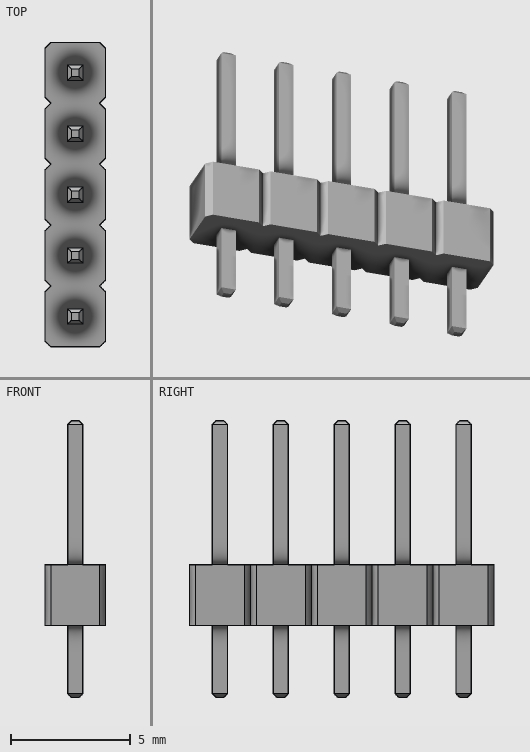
import cadquery as cq

PIN_COUNT = 5
PITCH = 2.54
CORNER_CHAMFER = 0.25
PIN_WIDTH = 0.64
PIN_ABOVE = 6.0
PIN_BELOW = 3.0
TIP_CHAMFER = 0.16

BLOCK_SIZE = PITCH
PIN_LENGTH = PIN_BELOW + BLOCK_SIZE + PIN_ABOVE

PIN_POSITIONS = [(i - (PIN_COUNT - 1) / 2) * PITCH for i in range(PIN_COUNT)]


def housing_block(y):
    """Insulator block with bevelled vertical edges, standing on Z = 0."""
    block = cq.Workplane("XY").box(BLOCK_SIZE, PITCH, BLOCK_SIZE, centered=(True, True, False))
    return block.edges("|Z").chamfer(CORNER_CHAMFER).translate((0, y, 0))


def pin(y):
    """Square pin with bevelled tips, passing through the housing block."""
    post = cq.Workplane("XY").box(PIN_WIDTH, PIN_WIDTH, PIN_LENGTH, centered=(True, True, False))
    return post.faces("<Z or >Z").chamfer(TIP_CHAMFER).translate((0, y, -PIN_BELOW))


result = cq.Workplane("XY")
for position in PIN_POSITIONS:
    result = result.union(housing_block(position)).union(pin(position))
result = result.clean()